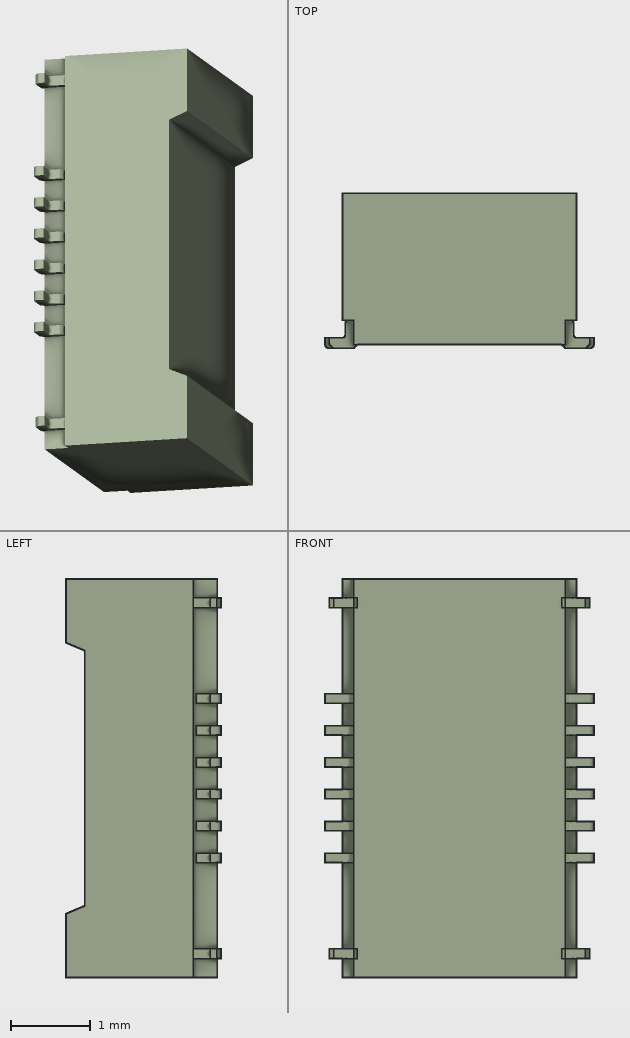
import cadquery as cq
import math


housing_length = 5.0
housing_width = 2.94
base_width = 2.655
base_clearance = 0.047
ledge_height = 0.352
housing_top = 1.95
recess_depth = 0.235
recess_floor_length = 3.2
recess_mouth_length = 3.4

leg_outer_x = 1.435
foot_thickness = 0.135
inner_corner_fillet = 0.035
bend_fillet = 0.05
shoulder_chamfer = 0.038

contact_tip_x = 1.69
contact_tip_fillet = 0.06
contact_height = 0.315
contact_heel_x = 1.387
contact_embedded_x = 1.2
contact_width = 0.12
contact_pitch = 0.4
contacts_per_side = 6

tab_tip_x = 1.635
tab_tip_chamfer = 0.055
tab_height = 0.373
tab_inner_x = 1.273
tab_heel_chamfer = 0.055
tab_width = 0.125
tab_spacing = 4.4


def make_housing():
    """Body on a narrower base, with a sloped-end recess across the top."""
    body = cq.Workplane("XY").box(
        housing_width, housing_top - ledge_height, housing_length, centered=(True, False, True)
    ).translate((0, ledge_height, 0))
    base = cq.Workplane("XY").box(
        base_width, ledge_height - base_clearance, housing_length, centered=(True, False, True)
    ).translate((0, base_clearance, 0))
    recess_floor = housing_top - recess_depth
    recess = (
        cq.Workplane("YZ")
        .moveTo(housing_top, -recess_mouth_length / 2)
        .lineTo(recess_floor, -recess_floor_length / 2)
        .lineTo(recess_floor, recess_floor_length / 2)
        .lineTo(housing_top, recess_mouth_length / 2)
        .close()
        .extrude(housing_width / 2, both=True)
    )
    return body.union(base).cut(recess)


def leg_top_outline(outline, height):
    """Continue an outline from the foot tip over the foot and up to the top of the leg."""
    arc_inset = inner_corner_fillet * (1 - math.sqrt(0.5))
    return (
        outline
        .lineTo(leg_outer_x + inner_corner_fillet, foot_thickness)
        .threePointArc(
            (leg_outer_x + arc_inset, foot_thickness + arc_inset),
            (leg_outer_x, foot_thickness + inner_corner_fillet),
        )
        .lineTo(leg_outer_x, height - shoulder_chamfer)
        .lineTo(leg_outer_x - shoulder_chamfer, height)
    )


def round_bend(solid, x, y):
    """Round the Z-parallel edge of a solid that passes through (x, y)."""
    margin = 0.005
    edge_box = cq.selectors.BoxSelector(
        (x - margin, y - margin, -housing_length), (x + margin, y + margin, housing_length)
    )
    return solid.edges(edge_box).fillet(bend_fillet)


def make_contact():
    """Right-hand contact centred on Z = 0: rounded foot tip, leg ending in the base.

    The heel rises from the foot at 45 degrees, straight into the base.
    """
    tip_arc_inset = contact_tip_fillet * (1 - math.sqrt(0.5))
    outline = (
        cq.Workplane("XY")
        .moveTo(contact_heel_x, 0)
        .lineTo(contact_tip_x - contact_tip_fillet, 0)
        .threePointArc(
            (contact_tip_x - tip_arc_inset, tip_arc_inset), (contact_tip_x, contact_tip_fillet)
        )
        .lineTo(contact_tip_x, foot_thickness)
    )
    contact = (
        leg_top_outline(outline, contact_height)
        .lineTo(contact_embedded_x, contact_height)
        .lineTo(contact_embedded_x, contact_heel_x - contact_embedded_x)
        .close()
        .extrude(contact_width / 2, both=True)
    )
    contact = round_bend(contact, contact_heel_x, 0)
    return round_bend(contact, leg_outer_x, contact_height - shoulder_chamfer)


def make_tab():
    """Right-hand hold-down tab centred on Z = 0: chamfered foot, leg running up into the ledge."""
    outline = (
        cq.Workplane("XY")
        .moveTo(tab_inner_x + tab_heel_chamfer, 0)
        .lineTo(tab_tip_x - tab_tip_chamfer, 0)
        .lineTo(tab_tip_x, tab_tip_chamfer)
        .lineTo(tab_tip_x, foot_thickness)
    )
    tab = (
        leg_top_outline(outline, tab_height)
        .lineTo(tab_inner_x, tab_height)
        .lineTo(tab_inner_x, tab_heel_chamfer)
        .close()
        .extrude(tab_width / 2, both=True)
    )
    return round_bend(tab, leg_outer_x, tab_height - shoulder_chamfer)


def add_on_both_sides(part, terminal, z_positions):
    """Fuse a terminal and its mirror image to the part at each Z position."""
    for z in z_positions:
        right = terminal.translate((0, 0, z))
        part = part.union(right).union(right.mirror("YZ"))
    return part


contact_positions = [
    (index - (contacts_per_side - 1) / 2) * contact_pitch for index in range(contacts_per_side)
]
tab_positions = [-tab_spacing / 2, tab_spacing / 2]

result = make_housing()
result = add_on_both_sides(result, make_contact(), contact_positions)
result = add_on_both_sides(result, make_tab(), tab_positions)